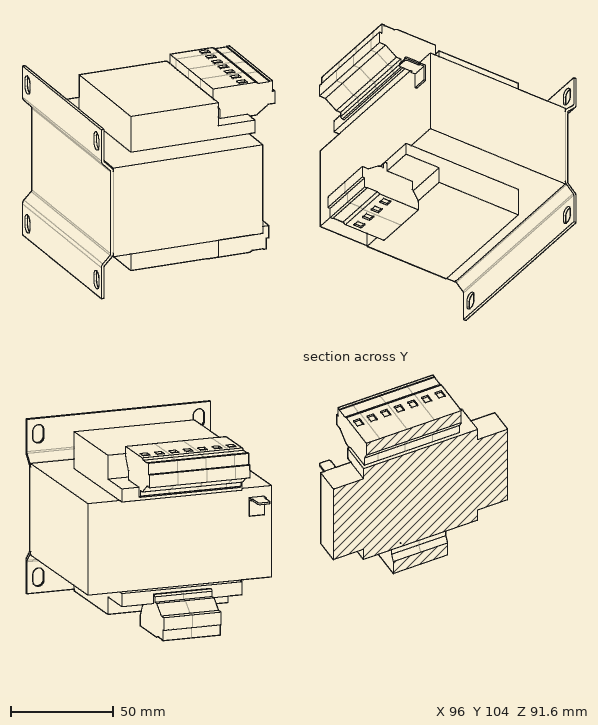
import cadquery as cq
import math


width = 96.0
overall_height = 91.6
core_front = 6.5
core_back = 86.2
core_half_height = 23.2

bobbin_width = 62.8
coil_front = 23.0
coil_back = 69.8
coil_top = 41.9
coil_bottom = -38.8
ledge_back = 89.3
ledge_half_height = 29.8

sheet = 1.5
bend_radius = 1.1
bend_angle = math.radians(45)
web_half_height = 21.8
bracket_half_height = 44.2
slot_width = 5.8
slot_length = 9.3
slot_x = 41.9
slot_z = 36.3

pole_pitch = 7.5
upper_blocks = [1, 2, 2, 2]
lower_blocks = [2, 2]
upper_start = -4 * pole_pitch
lower_start = -2 * pole_pitch
block_back = 104.0
block_front = 70.8
block_top = overall_height / 2
window_width = 3.5
window_length = 4.4
window_depth = 1.0
window_y = 87.9

tab_x = -40.0
tab_sheet = 0.9
tab_top = 18.2
tab_bottom = 8.9
tab_root_width = 7.8
tab_root_back = 89.6
tab_width = 6.2
tab_back = 97.5
tab_corner = 1.2


def box(x_range, y_range, z_range):
    """Box spanning the given (low, high) ranges."""
    sizes = [high - low for low, high in (x_range, y_range, z_range)]
    corner = (x_range[0], y_range[0], z_range[0])
    return cq.Workplane("XY").box(*sizes, centered=False).translate(corner)


def centered(size, middle=0.0):
    """Range of the given size about a middle value."""
    return (middle - size / 2, middle + size / 2)


def make_core():
    return box(centered(width), (core_front, core_back), centered(2 * core_half_height))


def make_bobbin():
    coil = box(centered(bobbin_width), (coil_front, coil_back), (coil_bottom, coil_top))
    ledge = box(centered(bobbin_width), (coil_back, ledge_back), centered(2 * ledge_half_height))
    gap = box(centered(bobbin_width), (core_back, ledge_back), centered(2 * core_half_height))
    return coil.union(ledge).cut(gap)


def make_bracket():
    """Web against the core, with a flange stepped forward at each end."""
    web_front = core_front - sheet
    flange_z = web_half_height + web_front / math.tan(bend_angle)
    miter = sheet * math.tan(bend_angle / 2)
    front_half = [
        (web_front, web_half_height),
        (0, flange_z),
        (0, bracket_half_height),
    ]
    back_half = [
        (sheet, bracket_half_height),
        (sheet, flange_z + miter),
        (core_front, web_half_height + miter),
    ]
    upper = front_half + back_half
    lower = [(y, -z) for y, z in reversed(upper)]
    bracket = cq.Workplane("YZ").polyline(upper + lower).close().extrude(width / 2, both=True)

    inner_corners = [front_half[0], back_half[1]]
    outer_corners = [front_half[1], back_half[2]]
    for corners, radius in ((inner_corners, bend_radius), (outer_corners, bend_radius + sheet)):
        for y, z in corners:
            for side in (1, -1):
                bend_edge = cq.selectors.NearestToPointSelector((0, y, side * z))
                bracket = bracket.edges("|X").edges(bend_edge).fillet(radius)

    slots = (
        cq.Workplane("XZ")
        .rect(2 * slot_x, 2 * slot_z, forConstruction=True)
        .vertices()
        .slot2D(slot_length, slot_width, 90)
        .extrude(-sheet)
    )
    return bracket.cut(slots)


def make_block(start, poles):
    """Terminal block with one wire window per pole, sitting on the upper ledge."""
    profile = [
        (block_front, block_top),
        (93.6, block_top),
        (95.2, 45.0),
        (101.0, 45.0),
        (101.2, 45.3),
        (102.6, 45.3),
        (102.6, 39.7),
        (block_back, 39.7),
        (block_back, 33.3),
        (100.5, 33.3),
        (94.0, 28.6),
        (91.4, 28.6),
        (91.4, 25.9),
        (90.4, 25.0),
        (ledge_back, 25.0),
        (ledge_back, ledge_half_height),
        (74.5, ledge_half_height),
        (74.5, 34.5),
        (block_front, 40.7),
    ]
    length = poles * pole_pitch
    block = cq.Workplane("YZ").polyline(profile).close().extrude(length)
    for pole in range(poles):
        window = box(
            centered(window_width, (pole + 0.5) * pole_pitch),
            centered(window_length, window_y),
            (block_top - window_depth, block_top),
        )
        block = block.cut(window)
    return block.translate((start, 0, 0))


def make_terminal_row(start, poles_per_block):
    """Blocks side by side, each keeping its own faces."""
    blocks = []
    for poles in poles_per_block:
        blocks.append(make_block(start, poles))
        start += poles * pole_pitch
    return blocks


def make_earth_tab():
    root_x = centered(tab_root_width, tab_x)
    tab_z = (tab_top - tab_sheet, tab_top)
    leg = box(root_x, (core_back, core_back + tab_sheet), (tab_bottom, tab_top))
    root = box(root_x, (core_back, tab_root_back), tab_z)
    blade = box(centered(tab_width, tab_x), (core_back, tab_back), tab_z)
    blade = blade.edges("|Z and >Y").fillet(tab_corner)
    return leg.union(root).union(blade)


upper_row = make_terminal_row(upper_start, upper_blocks)
lower_row = [block.mirror("XY") for block in make_terminal_row(lower_start, lower_blocks)]

result = make_core().union(make_bobbin()).union(make_earth_tab())
for fitted_part in [make_bracket()] + upper_row + lower_row:
    result = result.union(fitted_part, clean=False)